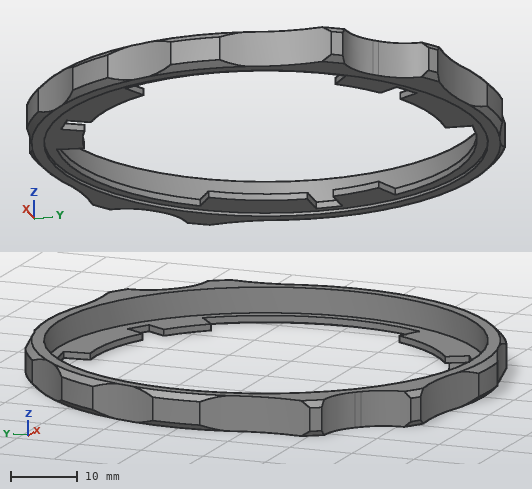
import cadquery as cq
import math

HEIGHT = 5.5
RIM_RADIUS = 36.0
BORE_RADIUS = 66.4 / 2
EDGE_CHAMFER = 0.9

LEDGE_RADIUS = 31.5
LEDGE_BOTTOM = 0.5
LEDGE_THICKNESS = 1.0
TAB_RADIUS = 27.4
TAB_START_ANGLE = 39.4
TAB_SPAN = 56.0
TAB_PITCH = 120.0
TAB_COUNT = 3

SLOT_WIDTH = 4.0
SLOT_FLOORS = {60: 30.95, 180: 32.0, 300: 30.95}

CUT_PITCH = 30
FIRST_CUT_ANGLE = CUT_PITCH // 2
SCALLOP_RADIUS = 27.5
SCALLOP_FLOOR = 35.0

LUG_RADIUS = 39.0
LUG_ANGLES = (45, 225)
LUG_SPAN = 2 * CUT_PITCH
SCOOP_RADIUS = 8.65
SCOOP_FLOOR = 35.1
SCOOP_FLAT = 0.9


def polar(radius, angle):
    return radius * math.cos(math.radians(angle)), radius * math.sin(math.radians(angle))


def disc(radius, height=HEIGHT):
    return cq.Workplane("XY").circle(radius).extrude(height)


def sector(radius, start, span, height):
    """Pie slice from the axis out to the given radius."""
    return (
        cq.Workplane("XY")
        .lineTo(*polar(radius, start))
        .threePointArc(polar(radius, start + span / 2), polar(radius, start + span))
        .close()
        .extrude(height)
    )


def make_blank():
    """Chamfered disc with two larger chamfered sectors for the lugs."""
    blank = disc(RIM_RADIUS).edges().chamfer(EDGE_CHAMFER)
    lug_disc = disc(LUG_RADIUS).edges().chamfer(EDGE_CHAMFER)
    for angle in LUG_ANGLES:
        lug_slice = sector(2 * LUG_RADIUS, angle - LUG_SPAN / 2, LUG_SPAN, HEIGHT)
        blank = blank.union(lug_disc.intersect(lug_slice))
    return blank


def make_scallop(angle):
    """Cylinder that hollows the rim down to the scallop floor."""
    centre = polar(SCALLOP_FLOOR + SCALLOP_RADIUS, angle)
    return disc(SCALLOP_RADIUS).translate((*centre, 0))


def make_scoop(angle):
    """Slot-shaped cutter whose short flat side faces the axis."""
    return (
        cq.Workplane("XY")
        .center(SCOOP_FLOOR + SCOOP_RADIUS, 0)
        .slot2D(SCOOP_FLAT + 2 * SCOOP_RADIUS, 2 * SCOOP_RADIUS, 90)
        .extrude(HEIGHT)
        .rotate((0, 0, 0), (0, 0, 1), angle)
    )


def make_slot(angle, floor):
    """Radial key slot from the axis to its flat floor."""
    return (
        cq.Workplane("XY")
        .box(floor, SLOT_WIDTH, LEDGE_THICKNESS, centered=(False, True, False))
        .rotate((0, 0, 0), (0, 0, 1), angle)
    )


def make_ledge():
    """Annular ledge with three bayonet tabs, each split by a key slot."""
    ledge = disc(BORE_RADIUS, LEDGE_THICKNESS).cut(disc(LEDGE_RADIUS, LEDGE_THICKNESS))
    tab_ring = disc(BORE_RADIUS, LEDGE_THICKNESS).cut(disc(TAB_RADIUS, LEDGE_THICKNESS))
    for index in range(TAB_COUNT):
        start = TAB_START_ANGLE + index * TAB_PITCH
        ledge = ledge.union(tab_ring.intersect(sector(BORE_RADIUS, start, TAB_SPAN, LEDGE_THICKNESS)))
    for angle, floor in SLOT_FLOORS.items():
        ledge = ledge.cut(make_slot(angle, floor))
    return ledge.translate((0, 0, LEDGE_BOTTOM))


result = make_blank()
for rim_angle in range(FIRST_CUT_ANGLE, 360, CUT_PITCH):
    cutter = make_scoop(rim_angle) if rim_angle in LUG_ANGLES else make_scallop(rim_angle)
    result = result.cut(cutter)
result = result.cut(disc(BORE_RADIUS)).union(make_ledge())